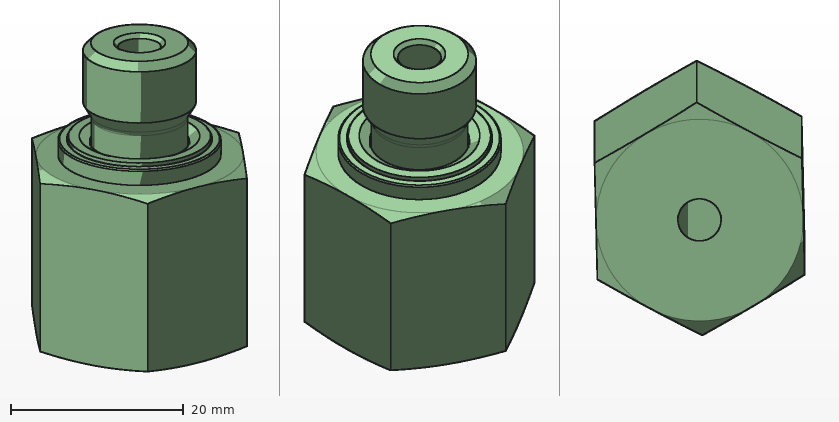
import cadquery as cq
import math

total_height = 36.0
across_flats = 24.0
hex_height = 22.05
hex_corner_angle = 15.0
across_corners = across_flats / math.cos(math.radians(30))

collar_diameter = 18.9
collar_top = 23.98
collar_chamfer = 0.18
seat_diameter = 16.6
seat_floor = hex_height
seat_mouth_chamfer = 0.15

neck_diameter = 11.2
head_diameter = 13.15
head_bottom = 28.65
head_chamfer = 0.95
flare_angle = 30.0
flare_fillet = 1.0

bore_diameter = 5.0
bore_chamfer = 0.5

ring_outer_diameter = 16.5
ring_inner_diameter = 11.6
ring_mouth_diameter = 13.95
ring_mouth_angle = 30.0
ring_top = 24.35


def make_hexagon():
    """Hexagonal prism with corners on the Y axis, chamfered at both ends."""
    prism = (
        cq.Workplane("XY")
        .polygon(6, across_corners)
        .extrude(hex_height)
        .rotate((0, 0, 0), (0, 0, 1), 30)
    )
    face_radius = across_flats / 2
    corner_radius = across_corners / 2
    drop = (corner_radius - face_radius) * math.tan(math.radians(hex_corner_angle))
    envelope = (
        cq.Workplane("XZ")
        .moveTo(0, 0)
        .lineTo(face_radius, 0)
        .lineTo(corner_radius, drop)
        .lineTo(corner_radius, hex_height - drop)
        .lineTo(face_radius, hex_height)
        .lineTo(0, hex_height)
        .close()
        .revolve(360, (0, 0, 0), (0, 1, 0))
    )
    return prism.intersect(envelope)


def make_collar_and_spigot():
    """Turned collar, annular ring seat and spigot above the hexagon."""
    collar_radius = collar_diameter / 2
    seat_radius = seat_diameter / 2
    neck_radius = neck_diameter / 2
    head_radius = head_diameter / 2

    flare = math.radians(flare_angle)
    flare_start_radius = neck_radius + flare_fillet * (1 - math.cos(flare))
    flare_start = head_bottom - (head_radius - flare_start_radius) / math.tan(flare)
    neck_end = flare_start - flare_fillet * math.sin(flare)
    arc_middle = (
        neck_radius + flare_fillet * (1 - math.cos(flare / 2)),
        neck_end + flare_fillet * math.sin(flare / 2),
    )

    return (
        cq.Workplane("XZ")
        .moveTo(0, hex_height)
        .lineTo(0, total_height)
        .lineTo(head_radius - head_chamfer, total_height)
        .lineTo(head_radius, total_height - head_chamfer)
        .lineTo(head_radius, head_bottom)
        .lineTo(flare_start_radius, flare_start)
        .threePointArc(arc_middle, (neck_radius, neck_end))
        .lineTo(neck_radius, seat_floor)
        .lineTo(seat_radius, seat_floor)
        .lineTo(seat_radius, collar_top - seat_mouth_chamfer)
        .lineTo(seat_radius + seat_mouth_chamfer, collar_top)
        .lineTo(collar_radius - collar_chamfer, collar_top)
        .lineTo(collar_radius, collar_top - collar_chamfer)
        .lineTo(collar_radius, hex_height)
        .close()
        .revolve(360, (0, 0, 0), (0, 1, 0))
    )


def make_fitting():
    """Hexagon and spigot in one piece, with a through bore chamfered at the top."""
    fitting = make_hexagon().union(make_collar_and_spigot())
    bore_radius = bore_diameter / 2
    bore = (
        cq.Workplane("XZ")
        .moveTo(0, 0)
        .lineTo(bore_radius, 0)
        .lineTo(bore_radius, total_height - bore_chamfer)
        .lineTo(bore_radius + bore_chamfer, total_height)
        .lineTo(0, total_height)
        .close()
        .revolve(360, (0, 0, 0), (0, 1, 0))
    )
    return fitting.cut(bore)


def make_sealing_ring():
    """Ring standing on the seat floor, with a conical inner mouth."""
    outer_radius = ring_outer_diameter / 2
    inner_radius = ring_inner_diameter / 2
    mouth_radius = ring_mouth_diameter / 2
    mouth_depth = (mouth_radius - inner_radius) * math.tan(math.radians(ring_mouth_angle))
    return (
        cq.Workplane("XZ")
        .moveTo(inner_radius, seat_floor)
        .lineTo(outer_radius, seat_floor)
        .lineTo(outer_radius, ring_top)
        .lineTo(mouth_radius, ring_top)
        .lineTo(inner_radius, ring_top - mouth_depth)
        .close()
        .revolve(360, (0, 0, 0), (0, 1, 0))
    )


fitting = make_fitting()
sealing_ring = make_sealing_ring()
result = cq.Compound.makeCompound([fitting.val(), sealing_ring.val()])